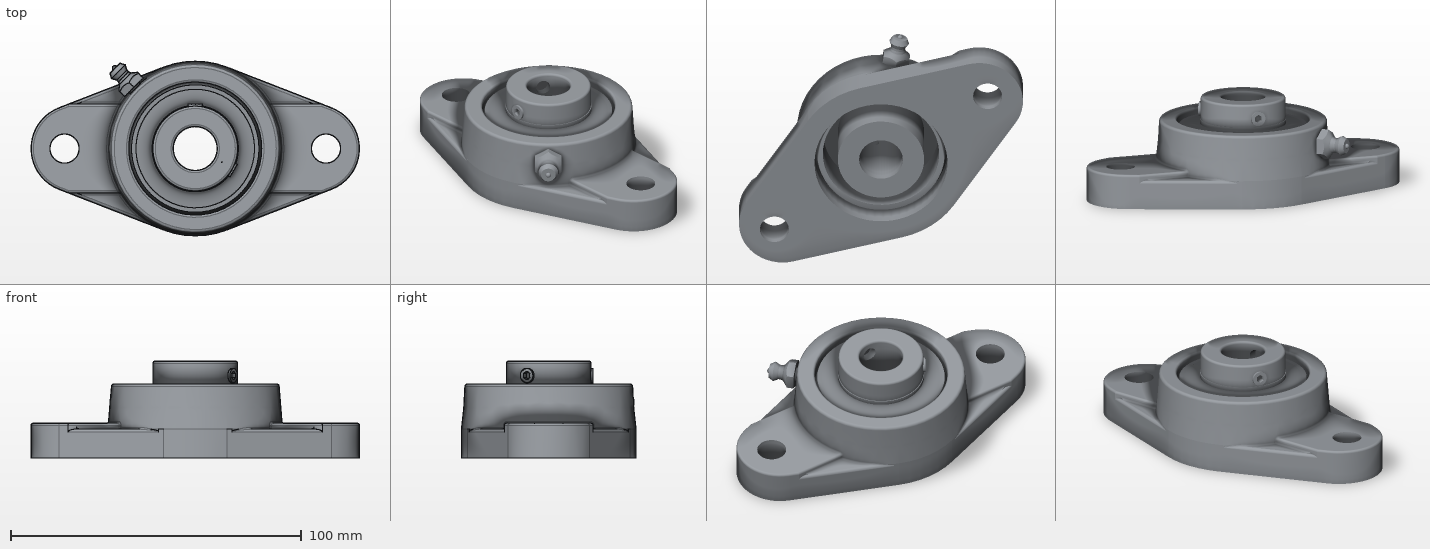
import cadquery as cq
import math

cos_45 = math.sqrt(0.5)
tolerance = 0.01

total_height = 33.3
flange_length = 113.0

hub_base_radius = 30.1
flange_height = 12.0
pocket_floor = 10.0
flange_end_radius = 15.0
end_center_x = flange_length / 2 - flange_end_radius
ear_half_width = 15.3
flank_sine = (hub_base_radius - flange_end_radius) / end_center_x
flank_cosine = math.sqrt(1 - flank_sine**2)
bolt_spacing = 90.0
bolt_hole_diameter = 10.0
rim_fillet = 1.0
rim_runout = 1.8
ear_fillet = 0.8
ear_root_fillet = 0.7
hub_root_fillet = 0.7
hub_root_start_x = 17.0

hub_top_radius = 28.8
hub_height = 25.5
hub_top_fillet = 1.0
hub_taper = (hub_base_radius - hub_top_radius) / (hub_height - pocket_floor)
hub_radius_at_ear = hub_base_radius - hub_taper * (flange_height - pocket_floor)
seat_opening_diameter = 45.8
seat_mouth_fillet = 0.8

bearing_center_z = 15.0
outer_ring_sphere_diameter = 47.0
outer_ring_width = 17.0
outer_ring_top = bearing_center_z + outer_ring_width / 2
outer_ring_bore = 40.0
seal_outer_diameter = 40.8
seal_inner_diameter = 29.7
seal_rise = 0.5
seal_thickness = 1.4

inner_ring_length = 31.0
inner_ring_diameter = 29.7
collar_diameter = 29.2
collar_length = 7.9
shaft_bore = 15.0
inner_ring_fillet = 0.8

screw_diameter = 5.0
screw_length = 5.0
screw_tip_radius = 15.3
screw_drop = 5.0
screw_height = total_height - screw_drop
screw_angles = (90, -30)
socket_across_flats = 2.5
socket_depth = 2.0

nipple_angle = 135
nipple_height = 19.2
stem_start = 26.0
stem_radius = 2.5
hex_start = 29.8
hex_across_flats = 9.0
hex_corner_radius = hex_across_flats / math.sqrt(3)
hex_shoulder = 32.1
cone_end = 34.0
cone_end_radius = 2.8
neck_start = 34.9
neck_end = 35.7
neck_radius = 2.5
head_middle = 37.4
head_radius = 3.4
head_end = 39.1
head_end_radius = 2.5
tip_radius = 0.9


def ring(outer_diameter, inner_diameter, bottom, top):
    """Plain ring around the bearing axis between two heights."""
    return (
        cq.Workplane("XY", origin=(0, 0, bottom))
        .circle(outer_diameter / 2)
        .circle(inner_diameter / 2)
        .extrude(top - bottom)
    )


def cylinder(diameter, bottom, top):
    """Solid cylinder on the bearing axis between two heights."""
    return cq.Workplane("XY", origin=(0, 0, bottom)).circle(diameter / 2).extrude(top - bottom)


def seat_sphere():
    """Sphere shared by the outer ring and its self-aligning seat."""
    return cq.Workplane("XY", origin=(0, 0, bearing_center_z)).sphere(outer_ring_sphere_diameter / 2)


def radial_plane(angle, distance, height):
    """Workplane facing outwards from the bearing axis, with its X direction along Z."""
    direction = (math.cos(math.radians(angle)), math.sin(math.radians(angle)), 0)
    origin = (distance * direction[0], distance * direction[1], height)
    return cq.Workplane(cq.Plane(origin=origin, xDir=(0, 0, 1), normal=direction))


def flange_plate(height):
    """Rhombic plate: a hub circle and two end circles joined by tangent flanks."""
    hub_x = hub_base_radius * flank_sine
    hub_y = hub_base_radius * flank_cosine
    end_x = end_center_x + flange_end_radius * flank_sine
    end_y = flange_end_radius * flank_cosine
    return (
        cq.Workplane("XY")
        .moveTo(-hub_x, hub_y)
        .threePointArc((0, hub_base_radius), (hub_x, hub_y))
        .lineTo(end_x, end_y)
        .threePointArc((flange_length / 2, 0), (end_x, -end_y))
        .lineTo(hub_x, -hub_y)
        .threePointArc((0, -hub_base_radius), (-hub_x, -hub_y))
        .lineTo(-end_x, -end_y)
        .threePointArc((-flange_length / 2, 0), (-end_x, end_y))
        .close()
        .extrude(height)
    )


def mirrored_to_corners(shape):
    """The shape in the +X +Y corner together with its three mirror images."""
    pair = shape.union(shape.mirror("YZ"))
    return pair.union(pair.mirror("XZ"))


def pocket_rim_cutter():
    """Material outside the rounded top edge of one flank, clear of the hub."""
    along_flank = (flank_cosine, -flank_sine, 0)
    outward = (flank_sine, flank_cosine, 0)
    start = (
        hub_base_radius * flank_sine + rim_runout * flank_cosine,
        hub_base_radius * flank_cosine - rim_runout * flank_sine,
        pocket_floor,
    )
    length = end_center_x * flank_cosine - rim_runout
    profile_plane = cq.Plane(origin=start, xDir=outward, normal=along_flank)
    arc_middle = rim_fillet * (1 - cos_45)
    cutter = (
        cq.Workplane(profile_plane)
        .moveTo(-rim_fillet, 0)
        .threePointArc((-arc_middle, -arc_middle), (0, -rim_fillet))
        .lineTo(rim_fillet, -rim_fillet)
        .lineTo(rim_fillet, rim_fillet)
        .lineTo(-rim_fillet, rim_fillet)
        .close()
        .extrude(length)
    )
    return cutter.cut(cylinder(2 * hub_base_radius, 0, flange_height))


def ear_root_cove():
    """Concave fillet strip between an ear wall and the pocket floor, kept inside the flank."""
    strip = (
        cq.Workplane("YZ")
        .moveTo(ear_half_width - ear_root_fillet, pocket_floor - ear_root_fillet)
        .lineTo(ear_half_width + ear_root_fillet, pocket_floor - ear_root_fillet)
        .lineTo(ear_half_width + ear_root_fillet, pocket_floor)
        .radiusArc((ear_half_width, pocket_floor + ear_root_fillet), ear_root_fillet)
        .lineTo(ear_half_width - ear_root_fillet, pocket_floor + ear_root_fillet)
        .close()
        .extrude(flange_length / 2)
    )
    return strip.intersect(flange_plate(flange_height))


def make_flange():
    """Plate with lowered corners and two full-height ears."""
    low_plate = flange_plate(pocket_floor).union(mirrored_to_corners(ear_root_cove()))
    low_plate = low_plate.cut(mirrored_to_corners(pocket_rim_cutter()))
    ear_strip = cq.Workplane("XY").box(
        flange_length, 2 * ear_half_width, flange_height, centered=(True, True, False)
    )
    ears = flange_plate(flange_height).intersect(ear_strip)
    ears = ears.faces(">Z").edges().fillet(ear_fillet)
    return low_plate.union(ears)


def make_hub():
    """Slightly tapered hub standing on the flange."""
    return (
        cq.Workplane("XZ")
        .moveTo(0, pocket_floor)
        .lineTo(hub_base_radius, pocket_floor)
        .lineTo(hub_top_radius, hub_height)
        .lineTo(0, hub_height)
        .close()
        .revolve(360, (0, 0), (0, 1))
        .faces(">Z")
        .edges()
        .fillet(hub_top_fillet)
    )


def hub_root_edges(body):
    """Edges where the hub meets the ears and the pocket floors."""
    edges = []
    for edge in body.edges().vals():
        middle = edge.positionAt(0.5)
        in_height = pocket_floor - tolerance < middle.z < flange_height + tolerance
        on_hub = hub_radius_at_ear - tolerance < math.hypot(middle.x, middle.y) < hub_base_radius + tolerance
        if in_height and on_hub and abs(middle.x) > hub_root_start_x:
            edges.append(edge)
    return edges


def make_housing():
    body = make_flange().union(make_hub())
    body = body.newObject(hub_root_edges(body)).fillet(hub_root_fillet)
    bolt_holes = (
        cq.Workplane("XY")
        .pushPoints([(-bolt_spacing / 2, 0), (bolt_spacing / 2, 0)])
        .circle(bolt_hole_diameter / 2)
        .extrude(flange_height)
    )
    opening = cylinder(seat_opening_diameter, 0, hub_height)
    stem_hole = radial_plane(nipple_angle, stem_start, nipple_height).circle(stem_radius)
    body = body.cut(bolt_holes).cut(opening)
    mouth_edge = body.faces(">Z").edges(cq.selectors.RadiusNthSelector(0))
    body = mouth_edge.fillet(seat_mouth_fillet)
    body = body.cut(seat_sphere())
    return body.cut(stem_hole.extrude(hub_base_radius - stem_start))


def make_outer_ring():
    blank = ring(
        outer_ring_sphere_diameter, outer_ring_bore, outer_ring_top - outer_ring_width, outer_ring_top
    )
    seal_recess = cylinder(seal_outer_diameter, outer_ring_top - seal_thickness, outer_ring_top)
    return blank.intersect(seat_sphere()).cut(seal_recess)


def make_seal():
    """Disc between the rings, with a gently coned upper face."""
    bottom = outer_ring_top - seal_thickness
    return (
        cq.Workplane("XZ")
        .moveTo(seal_inner_diameter / 2, bottom)
        .lineTo(seal_outer_diameter / 2, bottom)
        .lineTo(seal_outer_diameter / 2, outer_ring_top)
        .lineTo(seal_inner_diameter / 2, outer_ring_top + seal_rise)
        .close()
        .revolve(360, (0, 0), (0, 1))
    )


def make_inner_ring():
    """Stepped sleeve with a narrower collar that carries the set screws."""
    collar_bottom = total_height - collar_length
    sleeve = ring(inner_ring_diameter, shaft_bore, total_height - inner_ring_length, collar_bottom)
    collar = ring(collar_diameter, shaft_bore, collar_bottom, total_height)
    body = sleeve.union(collar).faces(">Z").edges().fillet(inner_ring_fillet)
    for angle in screw_angles:
        screw_hole = radial_plane(angle, 0, screw_height).circle(screw_diameter / 2)
        body = body.cut(screw_hole.extrude(screw_tip_radius))
    return body


def make_set_screw(angle):
    """Headless screw with a hexagon socket in its outer face."""
    socket_corner_diameter = 2 * socket_across_flats / math.sqrt(3)
    shank = radial_plane(angle, screw_tip_radius - screw_length, screw_height).circle(screw_diameter / 2)
    socket = radial_plane(angle, screw_tip_radius - socket_depth, screw_height)
    socket = socket.polygon(6, socket_corner_diameter).extrude(socket_depth)
    return shank.extrude(screw_length).cut(socket)


def make_nipple():
    """Turned stem, neck and head with a hexagon; built along Z, then laid radially."""
    turned = (
        cq.Workplane("XZ")
        .moveTo(0, stem_start)
        .lineTo(stem_radius, stem_start)
        .lineTo(stem_radius, hex_start)
        .lineTo(hex_corner_radius, hex_start)
        .lineTo(hex_corner_radius, hex_shoulder)
        .lineTo(cone_end_radius, cone_end)
        .lineTo(neck_radius, neck_start)
        .lineTo(neck_radius, neck_end)
        .lineTo(head_radius, head_middle)
        .lineTo(head_end_radius, head_end)
        .lineTo(tip_radius, head_end)
        .threePointArc(
            (tip_radius * cos_45, head_end + tip_radius * cos_45),
            (0, head_end + tip_radius),
        )
        .close()
        .revolve(360, (0, 0), (0, 1))
    )
    hexagon = (
        cq.Workplane("XY", origin=(0, 0, stem_start))
        .polygon(6, 2 * hex_corner_radius)
        .extrude(head_end + tip_radius - stem_start)
    )
    return (
        turned.intersect(hexagon)
        .rotate((0, 0, 0), (0, 1, 0), 90)
        .rotate((0, 0, 0), (0, 0, 1), nipple_angle)
        .translate((0, 0, nipple_height))
    )


housing = make_housing()
outer_ring = make_outer_ring()
seal = make_seal()
inner_ring = make_inner_ring()
set_screws = [make_set_screw(angle) for angle in screw_angles]
nipple = make_nipple()

result = cq.Compound.makeCompound(
    [
        housing.val(),
        outer_ring.val(),
        seal.val(),
        inner_ring.val(),
        *[screw.val() for screw in set_screws],
        nipple.val(),
    ]
)